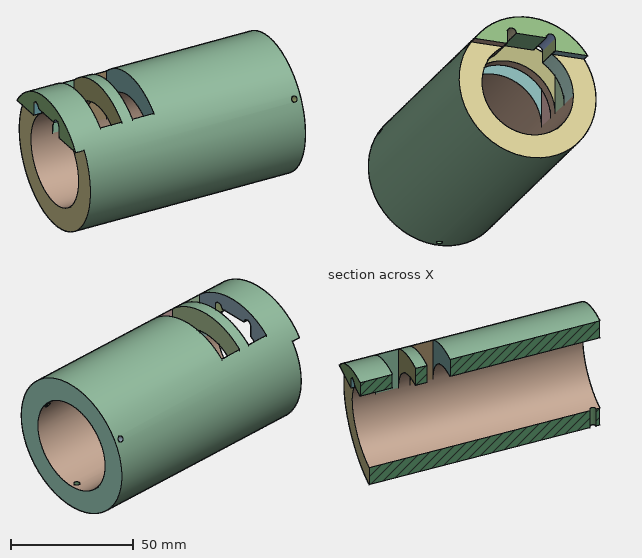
import cadquery as cq
import math

total_length = 104.0
outer_diameter = 60.0
bore_diameter = 40.0
outer_radius = outer_diameter / 2
rear_y = total_length / 2
front_y = -rear_y

lip_length = 4.0
lip_bottom_z = 17.0

slot_width = bore_diameter
slot_length = 10.0
slot_gap = 5.0
first_slot_offset = 14.0

keyway_width = 21.0
keyway_top_z = 22.0
keyway_depth = 14.0
relief_radius = 2.0

pin_diameter = 2.5
pin_rear_offset = 3.0
pin_angles = (30, 150, 270)


def cylinder_along_y(diameter, start_y, length, x=0, z=0):
    """Solid cylinder running from start_y toward +Y."""
    return cq.Workplane("XZ", origin=(x, start_y, z)).circle(diameter / 2).extrude(-length)


def box_from(start_y, length, width, bottom_z, top_z):
    """Box centred on X, running from start_y toward +Y."""
    return cq.Workplane("XY", origin=(0, start_y, bottom_z)).box(
        width, length, top_z - bottom_z, centered=(True, False, False)
    )


def slot_cutter(start_y):
    return box_from(start_y, slot_length, slot_width, 0, outer_radius)


def keyway_cutter():
    cutter = box_from(front_y, keyway_depth, keyway_width, 0, keyway_top_z)
    for side in (-1, 1):
        relief_x = side * (keyway_width / 2 - relief_radius)
        cutter = cutter.union(
            cylinder_along_y(2 * relief_radius, front_y, keyway_depth, relief_x, keyway_top_z)
        )
    return cutter


def pin_hole_cutter(angle):
    """Radial hole from the bore axis out through the wall."""
    direction = (math.cos(math.radians(angle)), 0, math.sin(math.radians(angle)))
    plane = cq.Plane(origin=(0, rear_y - pin_rear_offset, 0), xDir=(0, 1, 0), normal=direction)
    return cq.Workplane(plane).circle(pin_diameter / 2).extrude(outer_diameter)


sleeve = cylinder_along_y(outer_diameter, front_y, total_length)
sleeve = sleeve.cut(cylinder_along_y(bore_diameter, front_y, total_length))
sleeve = sleeve.cut(box_from(front_y, lip_length, outer_diameter, -outer_radius, lip_bottom_z))
sleeve = sleeve.cut(keyway_cutter())

for slot_index in range(2):
    slot_start_y = front_y + first_slot_offset + slot_index * (slot_length + slot_gap)
    sleeve = sleeve.cut(slot_cutter(slot_start_y))

for pin_angle in pin_angles:
    sleeve = sleeve.cut(pin_hole_cutter(pin_angle))

result = sleeve